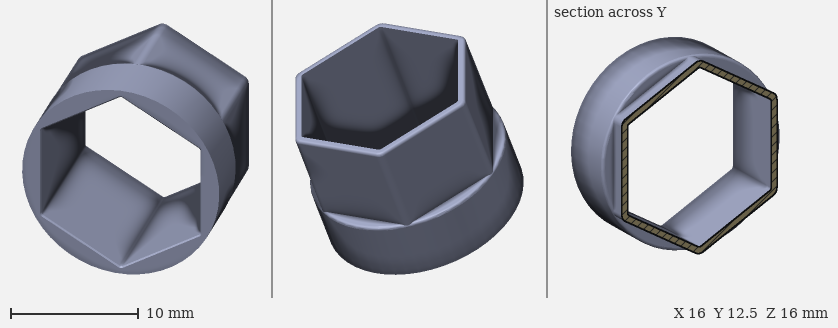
import cadquery as cq
import math

flange_diameter = 16.0
flange_length = 5.0
total_length = 12.5
outer_flats = 13.97
bore_flats = 12.88
corner_count = 6
draft_angle = 0.25
outer_corner_radius = 0.7
bore_corner_radius = 0.24
edge_radius = 0.25
mouth_chamfer = 0.11


def cross_section(y):
    """Workplane across the axis at y, facing the rear, with its local x pointing up."""
    return cq.Workplane(cq.Plane(origin=(0, y, 0), xDir=(0, 0, 1), normal=(0, 1, 0)))


def hexagonal_prism(start, length, flats, corner_radius):
    """Drafted hexagon with rounded corners, two of them on the vertical centre line."""
    across_corners = flats / math.cos(math.pi / corner_count)
    prism = cross_section(start).polygon(corner_count, across_corners).extrude(length, taper=draft_angle)
    long_edges = prism.edges("not #Y")
    return long_edges.fillet(corner_radius)


def flange():
    disc = cross_section(0).circle(flange_diameter / 2).extrude(flange_length)
    return disc.faces(">Y").edges().fillet(edge_radius)


def outer_hexagon():
    root = flange_length - edge_radius
    prism = hexagonal_prism(root, total_length - root, outer_flats, outer_corner_radius)
    return prism.faces(">Y").edges().fillet(edge_radius)


def bore():
    return hexagonal_prism(0, total_length, bore_flats, bore_corner_radius)


result = flange().union(outer_hexagon()).cut(bore())
result = result.faces("<Y").edges("not %CIRCLE").chamfer(mouth_chamfer)